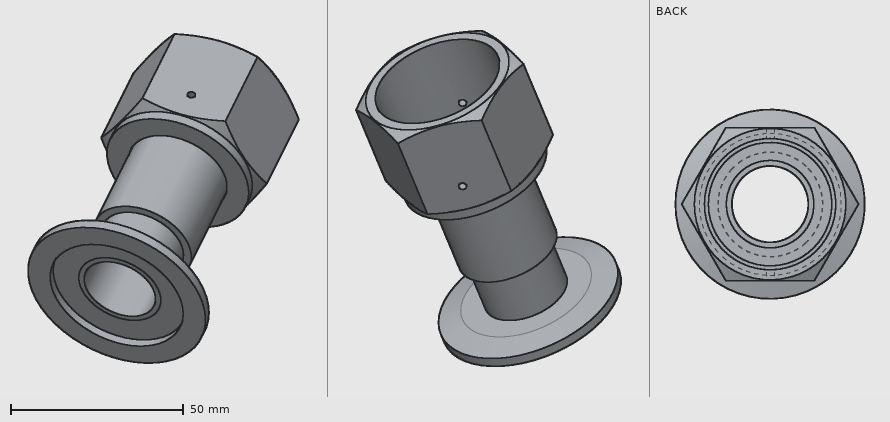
import cadquery as cq
import math

OVERALL_LENGTH = 84.8

FLANGE_DIAMETER = 55.0
FLANGE_RIM_THICKNESS = 3.0
FLANGE_THICKNESS = 5.0
FLANGE_TAPER_ANGLE = 15.0
RECESS_DIAMETER = 41.2
RECESS_DEPTH = 2.6

TUBE_OUTER_DIAMETER = 25.4
TUBE_INNER_DIAMETER = 22.1

GLAND_START = 21.5
GLAND_DIAMETER = 30.23
GLAND_HEAD_DIAMETER = 35.81
GLAND_HEAD_THICKNESS = 3.0

NUT_ACROSS_FLATS = 44.45
NUT_HEX_LENGTH = 31.0
NUT_CHAMFER_ANGLE = 30.0
COLLAR_DIAMETER = 43.94
COLLAR_LENGTH = 3.0
NUT_CLEARANCE_DIAMETER = 30.48
NUT_SHOULDER_THICKNESS = 5.5
NUT_BORE_DIAMETER = 38.1
VENT_DIAMETER = 2.29
VENT_STATION = 62.1

hex_start = OVERALL_LENGTH - NUT_HEX_LENGTH
nut_start = hex_start - COLLAR_LENGTH
shoulder_face = nut_start + NUT_SHOULDER_THICKNESS
gland_end = shoulder_face + GLAND_HEAD_THICKNESS


def rod(diameter, start, end):
    """Round bar on the Y axis between two stations."""
    plane = cq.Workplane("XZ", origin=(0, start, 0))
    return plane.circle(diameter / 2).extrude(start - end)


def revolved(profile):
    """Solid of revolution about Y from a closed outline of (radius, station) points."""
    return cq.Workplane("XY").polyline(profile).close().revolve(360, (0, 0, 0), (0, 1, 0))


def make_flange():
    """Disc with a tapered back, a recessed front face and a hole for the tube."""
    rim_radius = FLANGE_DIAMETER / 2
    taper_rise = FLANGE_THICKNESS - FLANGE_RIM_THICKNESS
    back_radius = rim_radius - taper_rise / math.tan(math.radians(FLANGE_TAPER_ANGLE))
    disc = revolved([
        (0, 0),
        (rim_radius, 0),
        (rim_radius, FLANGE_RIM_THICKNESS),
        (back_radius, FLANGE_THICKNESS),
        (0, FLANGE_THICKNESS),
    ])
    recess = rod(RECESS_DIAMETER, 0, RECESS_DEPTH)
    tube_hole = rod(TUBE_OUTER_DIAMETER, 0, FLANGE_THICKNESS)
    return disc.cut(recess).cut(tube_hole)


def make_tube():
    """Plain tube from the floor of the flange recess to the end of the gland."""
    outside = rod(TUBE_OUTER_DIAMETER, RECESS_DEPTH, gland_end)
    return outside.cut(rod(TUBE_INNER_DIAMETER, RECESS_DEPTH, gland_end))


def make_gland():
    """Sleeve around the tube, with a head resting on the nut's inner shoulder."""
    sleeve = rod(GLAND_DIAMETER, GLAND_START, gland_end)
    head = rod(GLAND_HEAD_DIAMETER, shoulder_face, gland_end)
    return sleeve.union(head).cut(rod(TUBE_OUTER_DIAMETER, GLAND_START, gland_end))


def make_nut():
    """Hexagon with both ends chamfered by cones, a collar, a stepped bore and a vent hole."""
    corner_radius = NUT_ACROSS_FLATS / 2 / math.cos(math.radians(30))
    end_radius = COLLAR_DIAMETER / 2
    chamfer_length = (corner_radius - end_radius) * math.tan(math.radians(NUT_CHAMFER_ANGLE))

    hexagon = (
        cq.Workplane("XZ", origin=(0, hex_start, 0))
        .polygon(6, 2 * corner_radius)
        .extrude(-NUT_HEX_LENGTH)
    )
    chamfer_envelope = revolved([
        (0, hex_start),
        (end_radius, hex_start),
        (corner_radius, hex_start + chamfer_length),
        (corner_radius, OVERALL_LENGTH - chamfer_length),
        (end_radius, OVERALL_LENGTH),
        (0, OVERALL_LENGTH),
    ])
    collar = rod(COLLAR_DIAMETER, nut_start, hex_start)
    clearance_hole = rod(NUT_CLEARANCE_DIAMETER, nut_start, shoulder_face)
    bore = rod(NUT_BORE_DIAMETER, shoulder_face, OVERALL_LENGTH)
    vent = (
        cq.Workplane("XY", origin=(0, VENT_STATION, 0))
        .circle(VENT_DIAMETER / 2)
        .extrude(NUT_ACROSS_FLATS, both=True)
    )
    blank = hexagon.intersect(chamfer_envelope).union(collar)
    return blank.cut(clearance_hole).cut(bore).cut(vent)


flange = make_flange()
tube = make_tube()
gland = make_gland()
nut = make_nut()

result = cq.Compound.makeCompound([flange.val(), tube.val(), gland.val(), nut.val()])